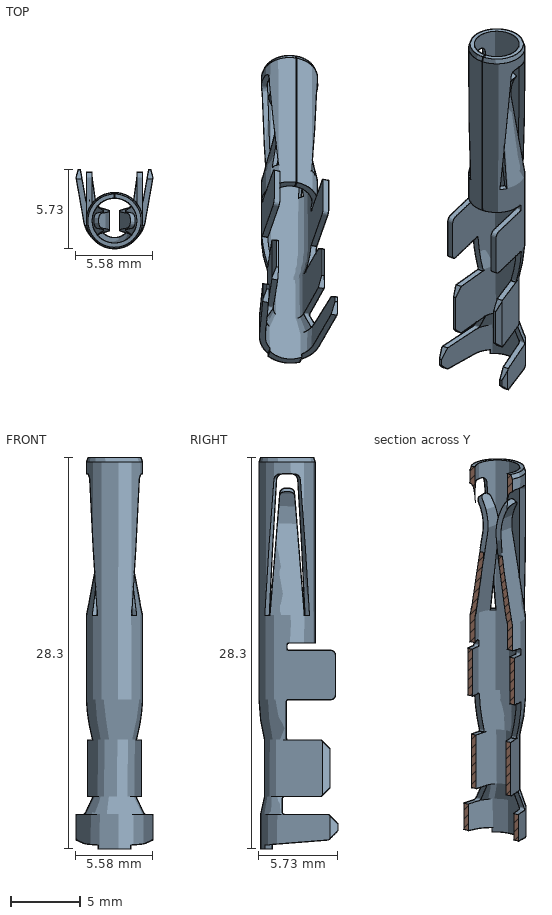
import cadquery as cq
import math

total_height = 28.32
wall = 0.42
tube_radius = 2.05
tube_bottom = 14.9
seam_gap = 0.05
rim_chamfer_width = 0.1
rim_chamfer_height = 0.35

window_bottom = 16.9
window_top = 27.13
window_bottom_angle = 52.5
window_top_angle = 27.0
window_corner_radius = 0.48
window_cut_depth = 1.5 * wall
leaf_base_angle = 38.0
leaf_contact_gap = 0.7
leaf_lean = 11.0
leaf_flare = 37.0
leaf_bend_radius = 3.95
leaf_tip_height = 26.1
leaf_tip_half_width = 0.5
leaf_tip_corner_radius = 0.45

support_top = 14.4
support_bottom = 10.8
support_wing_end = 3.5
support_corner_radius = 0.4

wire_radius = 1.6
wire_center = -0.05
wire_splay = 7.8
wire_top = 7.9
wire_bottom = 3.8
wire_wing_end = 3.12
wire_corner_chamfer = 0.65

grip_radius = 2.27
grip_center = 0.35
grip_splay = 10.0
grip_top = 2.52
grip_wing_end = 3.68
grip_corner_chamfer = 0.68
grip_back_rise = 0.25
grip_wing_rise = 0.65

bevel_length = 0.57
bevel_depth = 0.25

upper_neck_bulge = 0.08
upper_neck_edge = -0.05
lower_neck_edge = -0.35
slot_corner_radius = 0.15

tab_half_width = 1.2

reach = 8.5


def polar(radius, degrees, center=0.0):
    angle = math.radians(degrees)
    return (radius * math.cos(angle), center + radius * math.sin(angle))


def mirrored(point):
    return (-point[0], point[1])


def channel(radius, center, splay, wing_end, bottom, top):
    """U-shaped barrel: round floor at -Y, with tangent wings reaching y = wing_end."""
    slope = math.tan(math.radians(splay))
    inner_radius = radius - wall
    outer_start = polar(radius, -splay, center)
    inner_start = polar(inner_radius, -splay, center)

    def outer_x(y):
        return outer_start[0] + slope * (y - outer_start[1])

    inner_end = (inner_start[0] + slope * (wing_end - inner_start[1]), wing_end)
    bevel_start = wing_end - bevel_length
    bevel_end = (outer_x(wing_end) - bevel_depth, wing_end)
    tip = [(outer_x(bevel_start), bevel_start), bevel_end, inner_end]

    section = cq.Workplane("XY", origin=(0, 0, bottom)).moveTo(*mirrored(outer_start))
    section = section.threePointArc((0, center - radius), outer_start)
    for point in tip:
        section = section.lineTo(*point)
    section = section.lineTo(*inner_start)
    section = section.threePointArc((0, center - inner_radius), mirrored(inner_start))
    for point in reversed(tip):
        section = section.lineTo(*mirrored(point))
    return section.close().extrude(top - bottom)


def side_trim(points):
    """Solid spanning the whole width in X, bounded by an outline of (y, z) points."""
    return cq.Workplane("YZ").polyline(points).close().extrude(reach, both=True)


def wing_trim(wing_end, chamfer, bottom, back_bottom, top):
    """Side outline of a barrel: chamfered wing corners, lower edge slanting to the back of the floor."""
    shoulder = wing_end - chamfer
    return side_trim(
        [
            (-tube_radius, back_bottom),
            (shoulder, bottom),
            (wing_end, bottom + chamfer),
            (wing_end, top - chamfer),
            (shoulder, top),
            (-tube_radius, top),
        ]
    )


def trough_wire(radius, center, height):
    """Section of a round trough whose two edges lie at y = 0."""
    inner_radius = radius - wall
    outer_x = math.sqrt(radius**2 - center**2)
    inner_x = math.sqrt(inner_radius**2 - center**2)
    return (
        cq.Workplane("XY", origin=(0, 0, height))
        .moveTo(-outer_x, 0)
        .threePointArc((0, center - radius), (outer_x, 0))
        .lineTo(inner_x, 0)
        .threePointArc((0, center - inner_radius), (-inner_x, 0))
        .close()
        .wire()
        .val()
    )


def rounded_slot(edge, bottom, top):
    """Cutter for the open gap between wings, with rounded corners at its -Y end."""
    slot = cq.Workplane("XY", origin=(0, edge + reach / 2, (bottom + top) / 2))
    slot = slot.box(2 * reach, reach, top - bottom)
    return slot.edges("|X and <Y").fillet(slot_corner_radius)


def socket_tube():
    """Seamed tube with a chamfered rim; below the socket only its -Y half continues."""
    height = total_height - support_bottom
    base = cq.Workplane("XY", origin=(0, 0, support_bottom))
    tube = base.circle(tube_radius).extrude(height)
    tube = tube.faces(">Z").edges().chamfer(rim_chamfer_height, rim_chamfer_width)
    bore = base.circle(tube_radius - wall).extrude(height)
    seam = base.center(0, tube_radius).rect(seam_gap, 4 * wall).extrude(height)
    open_side = base.center(0, reach / 2).rect(reach, reach).extrude(support_top - support_bottom)
    tube = tube.cut(bore).cut(seam).cut(open_side)
    return tube.cut(rounded_slot(0, support_top, tube_bottom))


def support_wings():
    """Pair of flat wings standing on the edges of the half tube."""
    middle_height = (support_top + support_bottom) / 2
    wing_size = (wall, support_wing_end, support_top - support_bottom)
    wing_middle = (tube_radius - wall / 2, support_wing_end / 2, middle_height)
    wing = cq.Workplane("XY", origin=wing_middle).box(*wing_size)
    wing = wing.faces(">Y").edges("|X").fillet(support_corner_radius)
    return wing.union(wing.mirror("YZ"))


def window_cutter():
    """Wedge with radial sides, wide at the bottom and rounded at the top, on the +X side."""
    near = tube_radius - window_cut_depth
    far = 2 * tube_radius

    def section(angle, height):
        corners = [polar(near, -angle), polar(far, -angle), polar(far, angle), polar(near, angle)]
        return cq.Workplane("XY", origin=(0, 0, height)).polyline(corners).close().wire().val()

    lower = section(window_bottom_angle, window_bottom)
    upper = section(window_top_angle, window_top)
    wedge = cq.Workplane(obj=cq.Solid.makeLoft([lower, upper], True))
    return wedge.faces(">Z").edges("not |Y").fillet(window_corner_radius)


def leaf_half_width(height):
    """Half width in Y, tapering evenly from the root of the leaf to its tip."""
    root_half_width = tube_radius * math.sin(math.radians(leaf_base_angle))
    fraction = (height - window_bottom) / (leaf_tip_height - window_bottom)
    return root_half_width + fraction * (leaf_tip_half_width - root_half_width)


def bend_point(radius, degrees):
    """(x, z) on the contact bend, where the leaf leans outward by the angle given."""
    angle = math.radians(degrees)
    center_x = leaf_contact_gap / 2 + leaf_bend_radius
    center_z = leaf_tip_height - leaf_bend_radius * math.sin(math.radians(leaf_flare))
    return (center_x - radius * math.cos(angle), center_z + radius * math.sin(angle))


def leaf_blade():
    """Lower stretch, from a root curved like the tube to a flat section at the contact bend."""
    inner_radius = tube_radius - wall
    root = (
        cq.Workplane("XY", origin=(0, 0, window_bottom))
        .moveTo(*polar(tube_radius, -leaf_base_angle))
        .threePointArc((tube_radius, 0), polar(tube_radius, leaf_base_angle))
        .lineTo(*polar(inner_radius, leaf_base_angle))
        .threePointArc((inner_radius, 0), polar(inner_radius, -leaf_base_angle))
        .close()
        .wire()
        .val()
    )
    outer_x, outer_z = bend_point(leaf_bend_radius - wall, -leaf_lean)
    inner_x, inner_z = bend_point(leaf_bend_radius, -leaf_lean)
    corners = [
        cq.Vector(outer_x, -leaf_half_width(outer_z), outer_z),
        cq.Vector(outer_x, leaf_half_width(outer_z), outer_z),
        cq.Vector(inner_x, leaf_half_width(inner_z), inner_z),
        cq.Vector(inner_x, -leaf_half_width(inner_z), inner_z),
    ]
    flat = cq.Wire.makePolygon(corners, close=True)
    return cq.Workplane(obj=cq.Solid.makeLoft([root, flat], True))


def leaf_tip():
    """Upper stretch: the contact bend, flaring outward to a rounded tip."""
    inner = leaf_bend_radius
    outer = leaf_bend_radius - wall
    strip = (
        cq.Workplane("XZ")
        .moveTo(*bend_point(inner, -leaf_lean))
        .threePointArc(bend_point(inner, 0), bend_point(inner, leaf_flare))
        .lineTo(*bend_point(outer, leaf_flare))
        .threePointArc(bend_point(outer, 0), bend_point(outer, -leaf_lean))
        .close()
        .extrude(reach, both=True)
    )
    root_half_width = leaf_half_width(window_bottom)
    outline = side_trim(
        [
            (-root_half_width, window_bottom),
            (root_half_width, window_bottom),
            (leaf_tip_half_width, leaf_tip_height),
            (-leaf_tip_half_width, leaf_tip_height),
        ]
    )
    tip = strip.intersect(outline)
    return tip.faces(">Z").edges("not |Y").fillet(leaf_tip_corner_radius)


def wire_barrel():
    barrel = channel(wire_radius, wire_center, wire_splay, wire_wing_end, wire_bottom, wire_top)
    return barrel.intersect(
        wing_trim(wire_wing_end, wire_corner_chamfer, wire_bottom, wire_bottom, wire_top)
    )


def grip_barrel():
    """Lowest barrel: slanted lower edge, and a cut-off carrier tab at the middle of its floor."""
    barrel = channel(grip_radius, grip_center, grip_splay, grip_wing_end, 0, grip_top)
    trim = wing_trim(grip_wing_end, grip_corner_chamfer, grip_wing_rise, grip_back_rise, grip_top)
    tab_zone = cq.Workplane("XY", origin=(0, -reach / 2, 0))
    tab_zone = tab_zone.rect(2 * tab_half_width, reach).extrude(grip_top)
    return barrel.intersect(trim.union(tab_zone))


def upper_neck():
    """Trough tapering in a slightly bulged curve."""
    middle_radius = (tube_radius + wire_radius) / 2 + upper_neck_bulge
    middle_height = (support_bottom + wire_top) / 2
    sections = [
        trough_wire(wire_radius, wire_center, wire_top),
        trough_wire(middle_radius, wire_center / 2, middle_height),
        trough_wire(tube_radius, 0, support_bottom),
    ]
    return cq.Workplane(obj=cq.Solid.makeLoft(sections))


def lower_neck():
    sections = [
        trough_wire(grip_radius, grip_center, grip_top),
        trough_wire(wire_radius, wire_center, wire_bottom),
    ]
    trough = cq.Workplane(obj=cq.Solid.makeLoft(sections, True))
    return trough.cut(rounded_slot(lower_neck_edge, grip_top, wire_bottom))


result = socket_tube()
leaf = leaf_blade().union(leaf_tip())
for turn in (0, 180):
    result = result.cut(window_cutter().rotate((0, 0, 0), (0, 0, 1), turn))
    result = result.union(leaf.rotate((0, 0, 0), (0, 0, 1), turn))
result = result.union(support_wings()).union(upper_neck())
result = result.cut(rounded_slot(upper_neck_edge, wire_top, support_bottom))
for portion in (wire_barrel(), lower_neck(), grip_barrel()):
    result = result.union(portion)